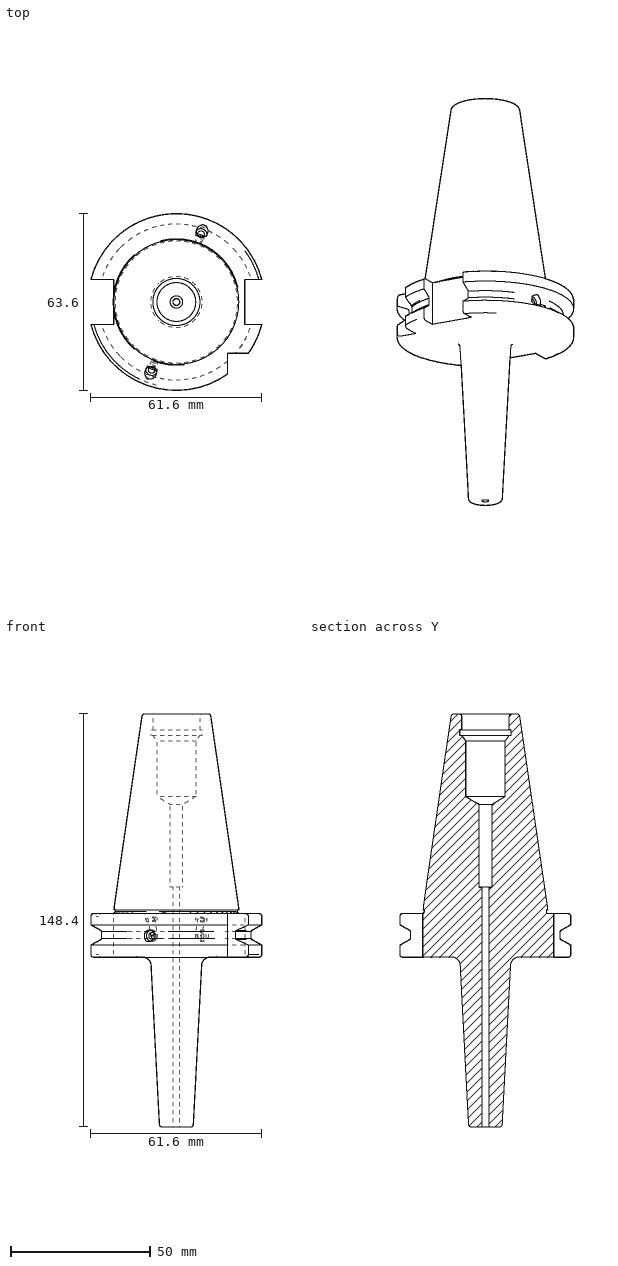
import cadquery as cq
import math

total_height = 148.4
flange_bottom_z = 61.0
flange_top_z = 76.7
gauge_z = 80.0

gauge_radius = 22.3
taper_slope = 7 / 48
taper_end_z = 79.0
taper_top_round = 1.0
collar_bottom_z = 78.0
undercut_radius = 22.0
undercut_fillet = 0.7

flange_radius = 31.8
flange_round = 1.0
groove_z = 69.0
groove_floor_radius = 28.0
groove_floor_width = 3.0
groove_corner_fillet = 0.5
groove_flank_angle = 30

nose_tip_radius = 6.1
nose_half_angle = 3
nose_fillet = 3.0
nose_top_z = flange_bottom_z - nose_fillet
nose_tip_round = 1.0

slot_width = 16.0
left_slot_x = -22.5
right_slot_x = 24.6
notch_corner = 18.4

bore_radius = 8.5
bore_mouth_round = 1.0
bore_depth = 7.7
relief_top_depth = 5.8
relief_radius = 9.2
step_radius = 7.0
step_cone_height = 2.1
step_depth = 29.7
drill_tip_half_angle = 59
pilot_radius = 2.2
pilot_length = 29.7
through_radius = 1.2

passage_azimuths = (70, 250)
inlet_pitch_radius = 27.0
inlet_tilt = 25
plug_z = 68.7
seat_diameter = 4.2
seat_depth = 2.4
feed_diameter = 2.4


def taper_radius(z):
    return gauge_radius - (z - gauge_z) * taper_slope


def make_body():
    """Revolve the outer outline about the Z axis."""
    flank_run = flange_radius - groove_floor_radius
    half_floor = groove_floor_width / 2
    half_mouth = half_floor + flank_run * math.tan(math.radians(groove_flank_angle))
    nose_top_radius = nose_tip_radius + nose_top_z * math.tan(math.radians(nose_half_angle))
    rim_radius = flange_radius - flange_round
    profile = (
        cq.Workplane("XZ")
        .lineTo(nose_tip_radius, 0)
        .lineTo(nose_top_radius, nose_top_z)
        .radiusArc((nose_top_radius + nose_fillet, flange_bottom_z), nose_fillet)
        .lineTo(rim_radius, flange_bottom_z)
        .radiusArc((flange_radius, flange_bottom_z + flange_round), -flange_round)
        .lineTo(flange_radius, groove_z - half_mouth)
        .lineTo(groove_floor_radius, groove_z - half_floor)
        .lineTo(groove_floor_radius, groove_z + half_floor)
        .lineTo(flange_radius, groove_z + half_mouth)
        .lineTo(flange_radius, flange_top_z - flange_round)
        .radiusArc((rim_radius, flange_top_z), -flange_round)
        .lineTo(undercut_radius + undercut_fillet, flange_top_z)
        .radiusArc((undercut_radius, flange_top_z + undercut_fillet), undercut_fillet)
        .lineTo(undercut_radius, collar_bottom_z)
        .lineTo(taper_radius(taper_end_z), collar_bottom_z)
        .lineTo(taper_radius(taper_end_z), taper_end_z)
        .lineTo(taper_radius(total_height), total_height)
        .lineTo(0, total_height)
        .close()
    )
    body = profile.revolve(360, (0, 0, 0), (0, 1, 0))
    floor_edges = cq.selectors.BoxSelector(
        (-rim_radius, -rim_radius, groove_z - groove_floor_width),
        (rim_radius, rim_radius, groove_z + groove_floor_width),
        boundingbox=True,
    )
    body = body.edges("%CIRCLE").edges(floor_edges).fillet(groove_corner_fillet)
    body = body.faces("<Z").edges().fillet(nose_tip_round)
    body = body.faces(">Z").edges().fillet(taper_top_round)
    return body


def make_bore():
    """Revolve the stepped bore, ending in a small through hole."""
    shoulder_z = total_height - bore_depth
    relief_top_z = total_height - relief_top_depth
    tip_z = total_height - step_depth
    tip_drop = (step_radius - pilot_radius) / math.tan(math.radians(drill_tip_half_angle))
    pilot_top_z = tip_z - tip_drop
    pilot_bottom_z = pilot_top_z - pilot_length
    profile = (
        cq.Workplane("XZ")
        .lineTo(through_radius, 0)
        .lineTo(through_radius, pilot_bottom_z)
        .lineTo(pilot_radius, pilot_bottom_z)
        .lineTo(pilot_radius, pilot_top_z)
        .lineTo(step_radius, tip_z)
        .lineTo(step_radius, shoulder_z - step_cone_height)
        .lineTo(bore_radius, shoulder_z)
        .lineTo(relief_radius, shoulder_z)
        .lineTo(relief_radius, relief_top_z)
        .lineTo(bore_radius, relief_top_z)
        .lineTo(bore_radius, total_height - bore_mouth_round)
        .radiusArc((bore_radius + bore_mouth_round, total_height), bore_mouth_round)
        .lineTo(0, total_height)
        .close()
    )
    return profile.revolve(360, (0, 0, 0), (0, 1, 0))


def flange_block(x_from, x_to, y_from, y_to):
    """Box over the full flange height, for cutting its edge."""
    height = flange_top_z - flange_bottom_z
    return (
        cq.Workplane("XY", origin=(0, 0, flange_bottom_z))
        .moveTo((x_from + x_to) / 2, (y_from + y_to) / 2)
        .rect(x_to - x_from, y_to - y_from)
        .extrude(height)
    )


def make_stepped_hole(start, direction, length):
    """Narrow feed from start to the surface, with a wider screw seat at its outer end."""
    feed = cq.Solid.makeCylinder(feed_diameter / 2, length, start, direction)
    seat_start = start + direction * (length - seat_depth)
    seat = cq.Solid.makeCylinder(seat_diameter / 2, seat_depth + seat_diameter, seat_start, direction)
    return cq.Workplane(feed).union(cq.Workplane(seat))


def make_coolant_passage(azimuth):
    """Inclined hole from the flange top meeting a radial hole from the groove."""
    tilt = math.radians(inlet_tilt)
    drop = flange_top_z - plug_z
    meeting_radius = inlet_pitch_radius - drop * math.tan(tilt)
    meeting_point = cq.Vector(meeting_radius, 0, plug_z)
    outward = cq.Vector(1, 0, 0)
    upward = cq.Vector(math.sin(tilt), 0, math.cos(tilt))
    inlet = make_stepped_hole(meeting_point, upward, drop / math.cos(tilt))
    plug = make_stepped_hole(meeting_point, outward, groove_floor_radius - meeting_radius)
    return inlet.union(plug).rotate((0, 0, 0), (0, 0, 1), azimuth)


result = make_body().cut(make_bore())

half_slot = slot_width / 2
result = result.cut(flange_block(-flange_radius, left_slot_x, -half_slot, half_slot))
result = result.cut(flange_block(right_slot_x, flange_radius, -half_slot, half_slot))
result = result.cut(flange_block(notch_corner, flange_radius, -flange_radius, -notch_corner))

for passage_azimuth in passage_azimuths:
    result = result.cut(make_coolant_passage(passage_azimuth))